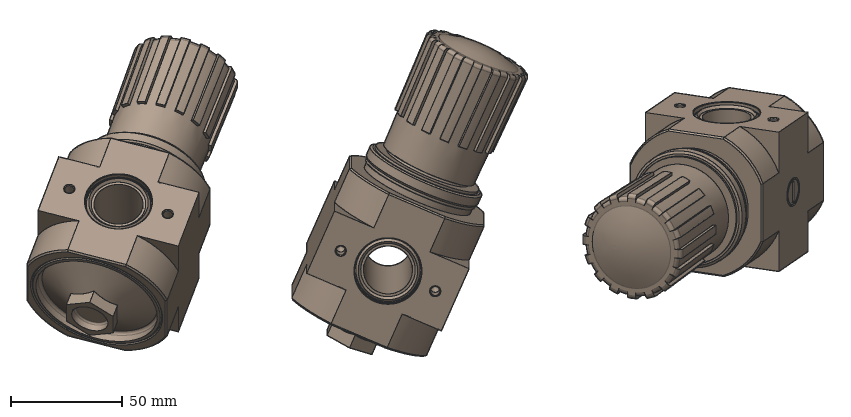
import cadquery as cq
import math


OVERALL_LENGTH = 148.2

BLOCK_SIZE = 66.0
HALF_BLOCK = BLOCK_SIZE / 2
BARREL_RADIUS = 35.7
BAND_WIDTH = 31.1
END_CHAMFER = 0.7

SPIGOT_DIA = 52.0
SPIGOT_END_Y = 36.2
SHOULDER_DIA = 53.5
SHOULDER_END_Y = 37.5
COLLAR_DIA = 54.8
COLLAR_START_Y = 38.4
COLLAR_END_Y = 42.5
COLLAR_BEVEL_DIA = 52.5
COLLAR_BEVEL_END_Y = 43.1
COLLAR_LIP_DIA = 50.4
COLLAR_TOP_Y = 44.3
NECK_BASE_DIA = 40.0
NECK_DIA = 39.0
NECK_FLARE_END_Y = 45.5

CUP_DIA = 57.0
CUP_FLOOR_DIA = 54.2
CUP_FILLET = (CUP_DIA - CUP_FLOOR_DIA) / 2
CONE_TOP_RADIUS = 8.9
CONE_RISE_PER_RADIUS = 0.59
CUP_DEPTH = 4.9
CAP_GROOVE_OUTER_DIA = 62.1
CAP_GROOVE_INNER_DIA = 59.9
CAP_GROOVE_DEPTH = (CAP_GROOVE_OUTER_DIA - CAP_GROOVE_INNER_DIA) / 4
HEX_ACROSS_FLATS = 22.0
HEX_END_Y = -43.1
HEX_HOLE_DIA = 17.0
HEX_HOLE_DEPTH = 4.1
HEX_HOLE_FILLET = 0.9

PORT_BORE_DIA = 22.0
PORT_SEAT_DIA = 24.5
PORT_SEAT_DEPTH = 2.2
PORT_RIDGE_DIA = 26.7
PORT_RIDGE_DEPTH = 0.96
PORT_GROOVE_DIA = 28.9
PORT_RECESS_DIA = 30.0
PORT_RIM_CHAMFER = 0.3

SCREW_HOLE_DIA = 4.1
SCREW_HOLE_MOUTH_DIA = 5.0
SCREW_HOLE_OFFSET = 23.1
SCREW_HOLE_DEPTH = 7.4
DRILL_TIP_ANGLE = 120.0

PLUG_FACE_DIA = 11.4
PLUG_MOUTH_DIA = 13.2
PLUG_DIA = (PLUG_FACE_DIA + PLUG_MOUTH_DIA) / 2
PLUG_CHAMFER = (PLUG_MOUTH_DIA - PLUG_DIA) / 2
PLUG_LENGTH = 8.9
SLOT_WIDTH = 1.8
SLOT_LENGTH = 9.5
SLOT_DEPTH = 1.5

KNOB_START_Y = 46.0
KNOB_RIM_Y = 101.4
KNOB_END_Y = HEX_END_Y + OVERALL_LENGTH
KNOB_BASE_RADIUS = 22.2
KNOB_TAPER = 0.019
KNOB_FILLET = 1.8
DOME_BASE_RADIUS = 19.4
RIB_COUNT = 16
RIB_WIDTH = 4.1
RIB_HEIGHT = 1.5
RIB_START_Y = 63.0


def turned(outline):
    """Revolve a closed half outline, drawn in the XY plane, around the Y axis."""
    return outline.close().revolve(360, (0, 0, 0), (0, 1, 0))


def make_block():
    """Square block whose two ends are rounded to a barrel; the middle band stays square."""
    square = cq.Workplane("XY").box(BLOCK_SIZE, BLOCK_SIZE, BLOCK_SIZE)
    barrel = cq.Workplane("XZ").circle(BARREL_RADIUS).extrude(HALF_BLOCK, both=True)
    rounded = square.intersect(barrel).faces("<Y or >Y").chamfer(END_CHAMFER)
    band = cq.Workplane("XY").box(BLOCK_SIZE, BAND_WIDTH, BLOCK_SIZE)
    return rounded.union(band)


def make_collar_and_neck():
    """Stepped collar and the neck that carries the knob."""
    return turned(
        cq.Workplane("XY")
        .moveTo(0, 0)
        .lineTo(SPIGOT_DIA / 2, 0)
        .lineTo(SPIGOT_DIA / 2, SPIGOT_END_Y)
        .lineTo(SHOULDER_DIA / 2, SPIGOT_END_Y)
        .lineTo(SHOULDER_DIA / 2, SHOULDER_END_Y)
        .lineTo(COLLAR_DIA / 2, COLLAR_START_Y)
        .lineTo(COLLAR_DIA / 2, COLLAR_END_Y)
        .lineTo(COLLAR_BEVEL_DIA / 2, COLLAR_BEVEL_END_Y)
        .lineTo(COLLAR_LIP_DIA / 2, COLLAR_BEVEL_END_Y)
        .lineTo(COLLAR_LIP_DIA / 2, COLLAR_TOP_Y)
        .lineTo(NECK_BASE_DIA / 2, COLLAR_TOP_Y)
        .lineTo(NECK_DIA / 2, NECK_FLARE_END_Y)
        .lineTo(NECK_DIA / 2, KNOB_START_Y)
        .lineTo(0, KNOB_START_Y)
    )


def make_cup_recess():
    """Round recess in the front end, with a filleted corner at its floor."""
    return (
        cq.Workplane("XZ", origin=(0, -HALF_BLOCK, 0))
        .circle(CUP_DIA / 2)
        .extrude(-CUP_DEPTH)
        .faces(">Y")
        .edges()
        .fillet(CUP_FILLET)
    )


def make_cone():
    """Cone that rises from the cup floor towards the hexagon."""
    floor_y = CUP_DEPTH - HALF_BLOCK
    floor_radius = CUP_FLOOR_DIA / 2
    tip_y = floor_y - CONE_RISE_PER_RADIUS * (floor_radius - CONE_TOP_RADIUS)
    return turned(
        cq.Workplane("XY")
        .moveTo(0, floor_y)
        .lineTo(floor_radius, floor_y)
        .lineTo(CONE_TOP_RADIUS, tip_y)
        .lineTo(0, tip_y)
    )


def make_hexagon():
    """Wrench hexagon with corners at +Z and -Z."""
    corner_dia = HEX_ACROSS_FLATS / math.cos(math.radians(30))
    length = CUP_DEPTH - HALF_BLOCK - HEX_END_Y
    return (
        cq.Workplane("XZ", origin=(0, HEX_END_Y, 0))
        .transformed(rotate=(0, 0, 90))
        .polygon(6, corner_dia)
        .extrude(-length)
    )


def make_hexagon_hole():
    """Blind round hole in the hexagon, filleted at its floor."""
    return (
        cq.Workplane("XZ", origin=(0, HEX_END_Y, 0))
        .circle(HEX_HOLE_DIA / 2)
        .extrude(-HEX_HOLE_DEPTH)
        .faces(">Y")
        .edges()
        .fillet(HEX_HOLE_FILLET)
    )


def make_cap_groove():
    """V-shaped ring groove around the cup, in the front end face."""
    middle_radius = (CAP_GROOVE_OUTER_DIA + CAP_GROOVE_INNER_DIA) / 4
    return turned(
        cq.Workplane("XY")
        .moveTo(CAP_GROOVE_INNER_DIA / 2, -HALF_BLOCK)
        .lineTo(CAP_GROOVE_OUTER_DIA / 2, -HALF_BLOCK)
        .lineTo(middle_radius, -HALF_BLOCK + CAP_GROOVE_DEPTH)
    )


def make_port():
    """Bore from the centre to the +Z face, with a seat and a ring groove in its recess."""
    top = HALF_BLOCK
    return (
        cq.Workplane("XZ")
        .moveTo(0, 0)
        .lineTo(PORT_BORE_DIA / 2, 0)
        .lineTo(PORT_BORE_DIA / 2, top - PORT_SEAT_DEPTH)
        .lineTo(PORT_SEAT_DIA / 2, top - PORT_SEAT_DEPTH)
        .lineTo(PORT_RIDGE_DIA / 2, top - PORT_RIDGE_DEPTH)
        .lineTo(PORT_GROOVE_DIA / 2, top - PORT_SEAT_DEPTH)
        .lineTo(PORT_RECESS_DIA / 2, top - PORT_SEAT_DEPTH)
        .lineTo(PORT_RECESS_DIA / 2, top - PORT_RIM_CHAMFER)
        .lineTo(PORT_RECESS_DIA / 2 + PORT_RIM_CHAMFER, top)
        .lineTo(0, top)
        .close()
        .revolve(360, (0, 0, 0), (0, 1, 0))
    )


def make_screw_hole(x):
    """Drilled blind hole in the +Z face, with a chamfered mouth and a conical end."""
    top = HALF_BLOCK
    radius = SCREW_HOLE_DIA / 2
    mouth_radius = SCREW_HOLE_MOUTH_DIA / 2
    tip_length = radius / math.tan(math.radians(DRILL_TIP_ANGLE / 2))
    return (
        cq.Workplane("XZ", origin=(x, 0, 0))
        .moveTo(0, top)
        .lineTo(mouth_radius, top)
        .lineTo(radius, top - (mouth_radius - radius))
        .lineTo(radius, top - SCREW_HOLE_DEPTH)
        .lineTo(0, top - SCREW_HOLE_DEPTH - tip_length)
        .close()
        .revolve(360, (0, 0, 0), (0, 1, 0))
    )


def make_plug_hole():
    """Blind hole for the plug in the -X face, with a chamfered mouth."""
    mouth = cq.Workplane("YZ", origin=(-HALF_BLOCK, 0, 0)).circle(PLUG_MOUTH_DIA / 2)
    cone = mouth.workplane(offset=PLUG_CHAMFER).circle(PLUG_DIA / 2).loft()
    bore = cq.Workplane("YZ", origin=(-HALF_BLOCK, 0, 0)).circle(PLUG_DIA / 2).extrude(PLUG_LENGTH)
    return bore.union(cone)


def make_housing():
    """Block, collar, neck and bottom cap with all openings."""
    housing = make_block().union(make_collar_and_neck())
    housing = housing.cut(make_cup_recess()).cut(make_cap_groove())
    housing = housing.union(make_cone()).union(make_hexagon()).cut(make_hexagon_hole())
    openings = [make_port()]
    for x in (-SCREW_HOLE_OFFSET, SCREW_HOLE_OFFSET):
        openings.append(make_screw_hole(x))
    for opening in openings:
        housing = housing.cut(opening).cut(opening.mirror("XY"))
    return housing.cut(make_plug_hole())


def make_plug():
    """Cylindrical plug with a chamfered face and a screwdriver slot along Z."""
    plug = (
        cq.Workplane("YZ", origin=(-HALF_BLOCK, 0, 0))
        .circle(PLUG_DIA / 2)
        .extrude(PLUG_LENGTH)
        .faces("<X")
        .chamfer(PLUG_CHAMFER)
    )
    slot = (
        cq.Workplane("YZ", origin=(-HALF_BLOCK, 0, 0))
        .rect(SLOT_WIDTH, SLOT_LENGTH)
        .extrude(SLOT_DEPTH)
    )
    return plug.cut(slot)


def make_tapered_body(start_y, added_radius):
    """Tapered round body up to the knob rim, with a filleted rim edge."""
    start_radius = KNOB_BASE_RADIUS + added_radius + KNOB_TAPER * (start_y - KNOB_START_Y)
    rim_radius = KNOB_BASE_RADIUS + added_radius + KNOB_TAPER * (KNOB_RIM_Y - KNOB_START_Y)
    body = turned(
        cq.Workplane("XY")
        .moveTo(0, start_y)
        .lineTo(start_radius, start_y)
        .lineTo(rim_radius, KNOB_RIM_Y)
        .lineTo(0, KNOB_RIM_Y)
    )
    return body.faces(">Y").edges().fillet(KNOB_FILLET)


def make_dome():
    """Shallow spherical dome on the knob end."""
    height = KNOB_END_Y - KNOB_RIM_Y
    sphere_radius = (DOME_BASE_RADIUS**2 + height**2) / (2 * height)
    half_angle = math.asin(DOME_BASE_RADIUS / sphere_radius) / 2
    arc_middle = (
        sphere_radius * math.sin(half_angle),
        KNOB_END_Y - sphere_radius * (1 - math.cos(half_angle)),
    )
    return turned(
        cq.Workplane("XY")
        .moveTo(0, KNOB_RIM_Y)
        .lineTo(DOME_BASE_RADIUS, KNOB_RIM_Y)
        .threePointArc(arc_middle, (0, KNOB_END_Y))
    )


def make_ribs():
    """Grip ribs: diametral bars trimmed to a tapered envelope, two ribs to a bar."""
    envelope = make_tapered_body(RIB_START_Y, RIB_HEIGHT)
    bars = cq.Workplane("XY")
    for index in range(RIB_COUNT // 2):
        bar = (
            cq.Workplane("XZ", origin=(0, RIB_START_Y, 0))
            .rect(BLOCK_SIZE, RIB_WIDTH)
            .extrude(RIB_START_Y - KNOB_RIM_Y)
            .rotate((0, 0, 0), (0, 1, 0), index * 360 / RIB_COUNT)
        )
        bars = bars.union(bar)
    return envelope.intersect(bars)


def make_knob():
    """Tapered knob with a domed end and grip ribs."""
    return make_tapered_body(KNOB_START_Y, 0).union(make_ribs()).union(make_dome())


housing = make_housing()
plug = make_plug()
knob = make_knob()
result = cq.Compound.makeCompound([housing.val(), plug.val(), knob.val()])